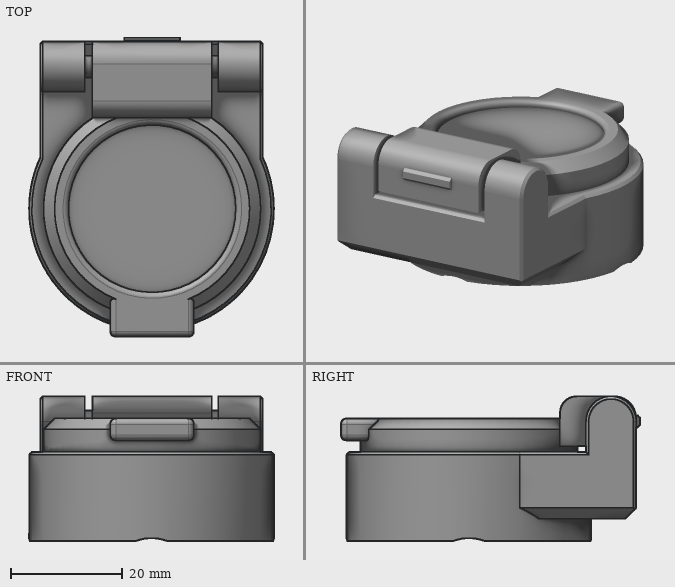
import cadquery as cq

base_diameter = 44.0
base_radius = base_diameter / 2
base_height = 16.0
edge_chamfer = 0.5
notch_width = 5.6
notch_height = 0.5
notch_radius = ((notch_width / 2) ** 2 + notch_height ** 2) / (2 * notch_height)

total_height = 26.0
block_width = 40.0
block_back = 30.0
block_bottom = 4.0
under_chamfer = 2.0
knuckle_radius = 4.5
knuckle_y = block_back - knuckle_radius
knuckle_z = total_height - knuckle_radius
knuckle_inner_x = 12.0
pin_diameter = 4.0

lid_offset_x = 0.1
lid_radius = 19.5
lid_top = 22.0
lid_chamfer = 2.0
recess_diameter = 30.0
recess_depth = 1.2
rim_fillet = 1.0

leaf_length = 21.5
leaf_front = 16.3
leaf_bottom = 17.0
leaf_fillet = 3.0
leaf_back_fillet = 4.0

nub_length = 10.05
nub_back = 30.7
nub_height = 2.25
nub_chamfer = 0.5
tab_width = 15.05
tab_front = -23.0
tab_height = 4.0
tab_fillet = 1.0


def box(x_min, x_max, y_min, y_max, z_min, z_max):
    size = (x_max - x_min, y_max - y_min, z_max - z_min)
    return cq.Workplane("XY").box(*size, centered=False).translate((x_min, y_min, z_min))


def make_base():
    drum = cq.Workplane("XY").circle(base_radius).extrude(base_height)
    half = block_width / 2
    block = box(-half, half, 0, block_back, block_bottom, base_height)
    block = block.faces("<Z").edges("|Y or >Y").chamfer(under_chamfer)
    base = drum.union(block)
    return base.faces(">Z").edges().chamfer(edge_chamfer)


def make_knuckle(side):
    """Upright with a round top; its outer end face is chamfered."""
    knuckle_length = block_width / 2 - knuckle_inner_x
    foot_z = block_bottom + under_chamfer
    knuckle = (
        cq.Workplane("YZ")
        .moveTo(knuckle_y - knuckle_radius, foot_z)
        .lineTo(knuckle_y - knuckle_radius, knuckle_z)
        .threePointArc((knuckle_y, total_height), (block_back, knuckle_z))
        .lineTo(block_back, foot_z)
        .close()
        .extrude(side * knuckle_length)
        .translate((side * knuckle_inner_x, 0, 0))
    )
    outer_face = ">X" if side > 0 else "<X"
    return knuckle.faces(outer_face).edges("not <Z").chamfer(edge_chamfer)


def trim_back_corners(base):
    """Chamfer the upright back corners of the block below the knuckles."""
    for side in (-1, 1):
        corner = (
            cq.Workplane("XY")
            .moveTo(side * block_width / 2, block_back)
            .lineTo(side * (block_width / 2 - edge_chamfer), block_back)
            .lineTo(side * block_width / 2, block_back - edge_chamfer)
            .close()
            .extrude(base_height)
        )
        base = base.cut(corner)
    return base


def make_pin():
    pin = cq.Workplane("YZ").center(knuckle_y, knuckle_z).circle(pin_diameter / 2)
    return pin.extrude(knuckle_inner_x, both=True)


def make_lid():
    lid = cq.Workplane("XY").workplane(offset=base_height).circle(lid_radius)
    lid = lid.extrude(lid_top - base_height)
    return lid.faces(">Z").edges().chamfer(lid_chamfer)


def make_recess():
    """Cutter for the shallow lid recess with its rounded rim."""
    radius = recess_diameter / 2
    rim_start_z = lid_top - rim_fillet
    diagonal = rim_fillet * 0.5 ** 0.5
    profile = (
        cq.Workplane("XZ")
        .moveTo(0, lid_top - recess_depth)
        .lineTo(radius, lid_top - recess_depth)
        .lineTo(radius, rim_start_z)
        .threePointArc(
            (radius + rim_fillet - diagonal, rim_start_z + diagonal),
            (radius + rim_fillet, lid_top),
        )
        .lineTo(0, lid_top)
        .close()
    )
    return profile.revolve(360, (0, 0, 0), (0, 1, 0))


def make_leaf():
    half = leaf_length / 2
    leaf = box(-half, half, leaf_front, block_back, leaf_bottom, total_height)
    leaf = leaf.edges("|X and >Z and <Y").fillet(leaf_fillet)
    return leaf.edges("|X and >Z and >Y").fillet(leaf_back_fillet)


def make_nub():
    half = nub_length / 2
    z_min = knuckle_z - nub_height / 2
    nub = box(-half, half, knuckle_y, nub_back, z_min, z_min + nub_height)
    return nub.edges("|X and >Y").chamfer(nub_chamfer)


def make_tab():
    half = tab_width / 2
    tab_root = -recess_diameter / 2
    tab = box(-half, half, tab_front, tab_root, lid_top - tab_height, lid_top)
    return tab.edges("<Y or |Y").fillet(tab_fillet)


def make_notch(direction):
    """Shallow round groove running across the whole underside."""
    notch = cq.Workplane(direction).center(0, notch_height - notch_radius)
    return notch.circle(notch_radius).extrude(2 * base_radius, both=True)


def make_lid_assembly():
    lid = make_lid().union(make_leaf()).union(make_nub()).union(make_tab())
    return lid.cut(make_recess()).translate((lid_offset_x, 0, 0))


result = trim_back_corners(make_base())
for knuckle_side in (-1, 1):
    result = result.union(make_knuckle(knuckle_side))
result = result.union(make_pin()).union(make_lid_assembly())
for notch_plane in ("XZ", "YZ"):
    result = result.cut(make_notch(notch_plane))